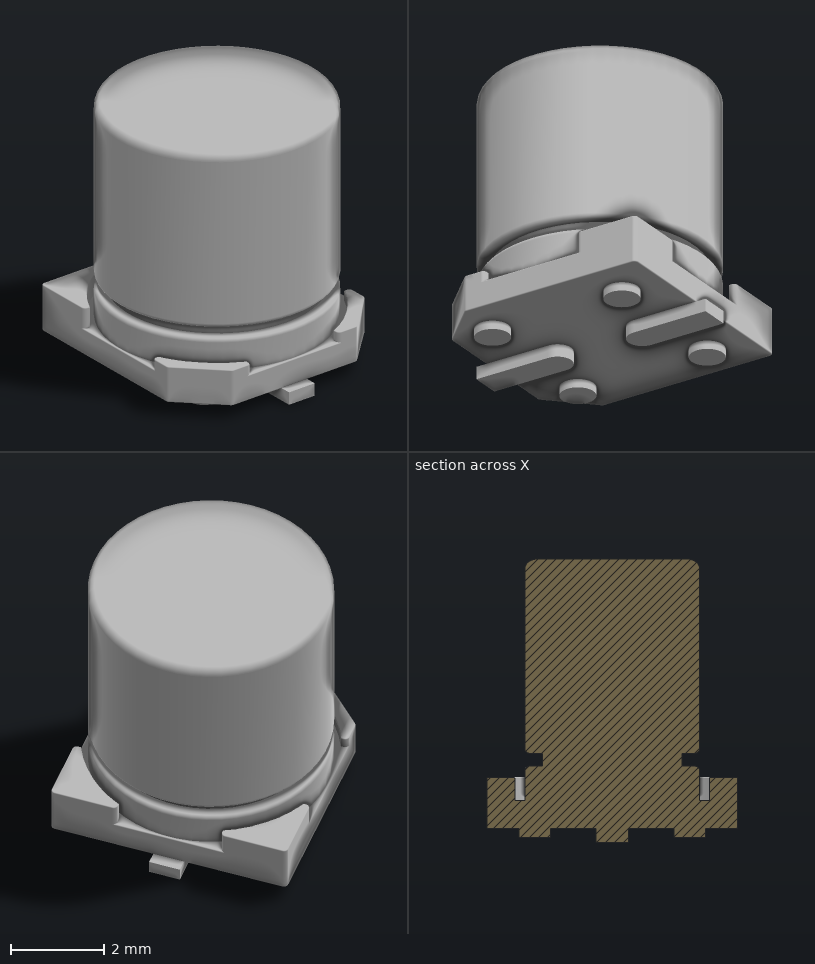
import cadquery as cq

total_height = 6.1
lead_span = 5.9
base_width = 5.4

can_diameter = 5.3
neck_diameter = 4.8
groove_bottom = 1.655
groove_top = 1.905
can_top_radius = 0.2
groove_edge_radius = 0.1

base_bottom = 0.3
floor_height = 0.9
tall_post_height = 1.4
short_post_height = 1.15
post_offset = 1.19
post_clearance = 0.15
base_chamfer = 1.0
base_corner_radius = 0.1
base_edge_radius = 0.025

foot_diameter = 0.8
foot_offset = 1.665
foot_bottom = 0.1
lead_width = 0.7
lead_length = 2.21

half_width = base_width / 2
half_span = lead_span / 2
can_radius = can_diameter / 2
neck_radius = neck_diameter / 2


def cylinder(radius, bottom, top):
    """Upright cylinder on the part axis."""
    return cq.Workplane("XY").workplane(offset=bottom).circle(radius).extrude(top - bottom)


def base_block(bottom, top):
    """Square block with two cut corners on +X and all upright edges rounded."""
    block = cq.Workplane("XY").workplane(offset=bottom).rect(base_width, base_width).extrude(top - bottom)
    block = block.edges("|Z and >X").chamfer(base_chamfer)
    return block.edges("|Z").fillet(base_corner_radius)


def corner_post(x_sign, y_sign, top):
    """Raised base corner, hollowed towards the can; its root is buried in the base slab."""
    root = (base_bottom + floor_height) / 2
    size = half_width - post_offset
    center = post_offset + size / 2
    corner = (
        cq.Workplane("XY")
        .workplane(offset=root)
        .center(x_sign * center, y_sign * center)
        .rect(size, size)
        .extrude(top - root)
    )
    hollow = cylinder(can_radius + post_clearance, root, top)
    post = base_block(root, top).intersect(corner).cut(hollow)

    end_edges = [(post_offset, half_width), (half_width, post_offset)]
    for x, y in end_edges:
        nearest = cq.selectors.NearestToPointSelector((x_sign * x, y_sign * y, (root + top) / 2))
        post = post.edges("|Z").edges(nearest).fillet(base_corner_radius)
    return post.faces(">Z").edges().fillet(base_edge_radius)


def base():
    """Filleted slab carrying tall posts on -X and short posts on +X."""
    body = base_block(base_bottom, floor_height).faces("<Z or >Z").edges().fillet(base_edge_radius)
    for y_sign in (-1, 1):
        body = body.union(corner_post(-1, y_sign, tall_post_height))
        body = body.union(corner_post(1, y_sign, short_post_height))
    return body


def can():
    """Rounded can joined to its lower ring by a narrower neck."""
    ring = cylinder(can_radius, base_bottom, groove_bottom)
    ring = ring.faces(">Z").edges().fillet(groove_edge_radius)
    neck = cylinder(neck_radius, groove_bottom, groove_top)
    upper_can = cylinder(can_radius, groove_top, total_height)
    upper_can = upper_can.faces("<Z").edges().fillet(groove_edge_radius)
    upper_can = upper_can.faces(">Z").edges().fillet(can_top_radius)
    return ring.union(neck).union(upper_can)


def feet():
    """Four round standoffs under the base."""
    spacing = 2 * foot_offset
    return (
        cq.Workplane("XY")
        .workplane(offset=foot_bottom)
        .rect(spacing, spacing, forConstruction=True)
        .vertices()
        .circle(foot_diameter / 2)
        .extrude(base_bottom - foot_bottom)
    )


def lead(x_sign):
    """Flat terminal with a square outer end and a round inner end."""
    half = lead_width / 2
    outer = x_sign * half_span
    tip = x_sign * (half_span - lead_length)
    arc_start = tip + x_sign * half
    return (
        cq.Workplane("XY")
        .moveTo(outer, -half)
        .lineTo(arc_start, -half)
        .threePointArc((tip, 0), (arc_start, half))
        .lineTo(outer, half)
        .close()
        .extrude(base_bottom)
    )


result = base().union(can()).union(feet())
for side in (-1, 1):
    result = result.union(lead(side))